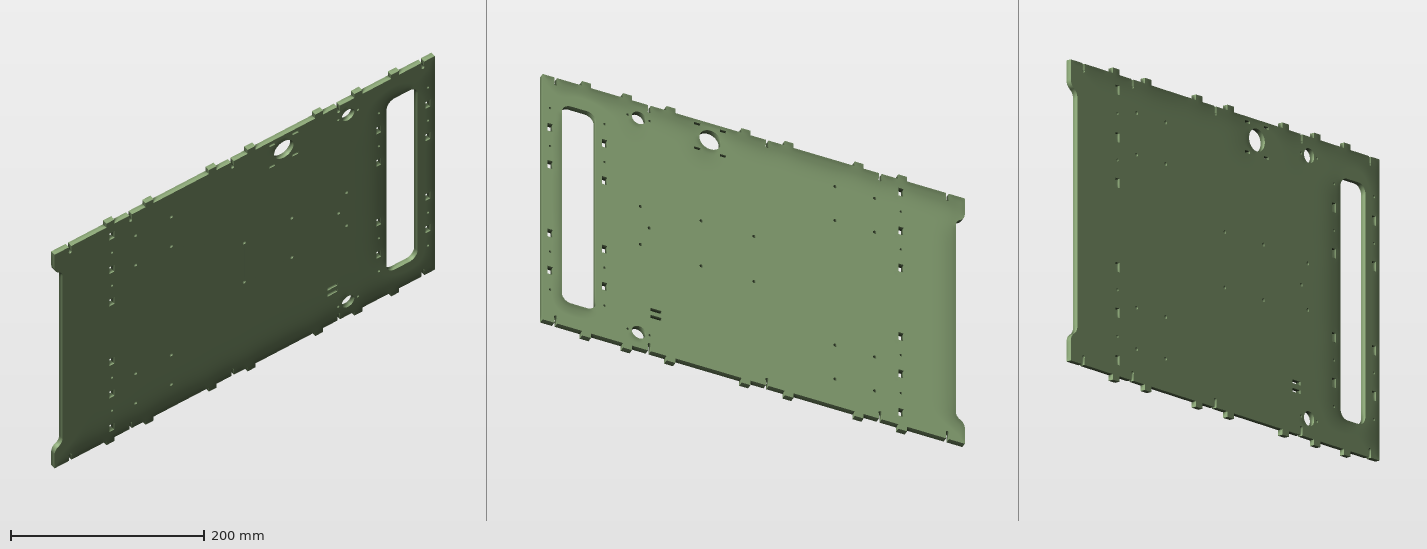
import cadquery as cq
import math

LENGTH = 483.0
HEIGHT_OVER_TABS = 337.0
HALF_THICKNESS = 3.0
THICKNESS = 2 * HALF_THICKNESS

SMALL_DIAMETER = 3.1
MEDIUM_DIAMETER = 4.0

TAB_WIDTH = 10.0
TAB_HEIGHT = THICKNESS
BODY_HEIGHT = HEIGHT_OVER_TABS - 2 * TAB_HEIGHT
TAB_YS = (191.5, 144.5, 94.5, 8.5, -40.5, -120.8, -170.5)

KEYHOLE_YS = (226.5, 119.5, -15.5, -145.0, -221.5)
KEYHOLE_WIDTH = 3.2
KEYHOLE_DIAMETER = 4.0
KEYHOLE_DEPTH = 10.0

RECESS_DEPTH = 10.0
RECESS_HALF_HEIGHT = 123.5
SHOULDER_RADIUS = 10.0

WINDOW_Y = 200.0
WINDOW_WIDTH = 39.0
WINDOW_HEIGHT = 261.0
WINDOW_CORNER_RADIUS = 10.5

MORTISE_WIDTH = THICKNESS
MORTISE_HEIGHT = TAB_WIDTH
COLUMN_YS = (233.0, 170.5, -168.5)
MORTISE_ZS = (45.5, 94.5)
PILOT_ZS = (70.0, 120.5)
END_MORTISE_Z = 146.0

PORT_Y = 131.5
PORT_Z = 142.0
PORT_DIAMETER = 16.0
PORT_SCREW_OFFSET = 12.5

OPENING_Y = 49.7
OPENING_Z = 140.5
OPENING_DIAMETER = 24.5
STRAP_SLOT_LENGTH = 7.2
STRAP_SLOT_HEIGHT = 3.0
STRAP_SPACING_Y = 29.5
STRAP_SPACING_Z = 32.5

TIE_SLOT_Y = 111.5
TIE_SLOT_LENGTH = 12.5
TIE_SLOT_HEIGHT = 4.0
TIE_SLOT_ZS = (-107.0, -116.5)

TRIANGLE_TIP_Y = 119.5
TRIANGLE_BASE_Y = 129.5
TRIANGLE_BASE_Z = 25.0
BOARD_YS = (60.0, -0.5)
BOARD_Z = 30.0
BRACKET_YS = (-93.0, -138.5)
BRACKET_ZS = (82.5, 127.5)


def mirrored(ys, zs):
    """All (y, z) combinations, above and below the centre line."""
    return [(y, side * z) for y in ys for z in zs for side in (1, -1)]


def panel_plane():
    return cq.Workplane("YZ", origin=(-HALF_THICKNESS, 0, 0))


def boxes(points, width, height):
    return panel_plane().pushPoints(points).rect(width, height).extrude(THICKNESS)


def discs(points, diameter):
    return panel_plane().pushPoints(points).circle(diameter / 2).extrude(THICKNESS)


def body():
    """Rectangle whose -Y end is recessed between two S-shaped shoulders."""
    end_y = -LENGTH / 2
    top_z = BODY_HEIGHT / 2
    floor_y = end_y + RECESS_DEPTH
    middle_y = end_y + RECESS_DEPTH / 2
    sweep = math.acos(1 - RECESS_DEPTH / 2 / SHOULDER_RADIUS)
    rise = SHOULDER_RADIUS * math.sin(sweep)
    middle_z = RECESS_HALF_HEIGHT + rise
    tip_z = middle_z + rise
    return (
        panel_plane()
        .moveTo(-end_y, -top_z)
        .lineTo(-end_y, top_z)
        .lineTo(end_y, top_z)
        .lineTo(end_y, tip_z)
        .tangentArcPoint((middle_y, middle_z), relative=False)
        .tangentArcPoint((floor_y, RECESS_HALF_HEIGHT), relative=False)
        .lineTo(floor_y, -RECESS_HALF_HEIGHT)
        .tangentArcPoint((middle_y, -middle_z), relative=False)
        .tangentArcPoint((end_y, -tip_z), relative=False)
        .lineTo(end_y, -top_z)
        .close()
        .extrude(THICKNESS)
    )


def keyholes():
    edge_z = BODY_HEIGHT / 2
    bulb_z = edge_z - KEYHOLE_DEPTH + KEYHOLE_DIAMETER / 2
    necks = boxes(mirrored(KEYHOLE_YS, [(edge_z + bulb_z) / 2]), KEYHOLE_WIDTH, edge_z - bulb_z)
    bulbs = discs(mirrored(KEYHOLE_YS, [bulb_z]), KEYHOLE_DIAMETER)
    return necks.union(bulbs)


def window():
    block = boxes([(WINDOW_Y, 0)], WINDOW_WIDTH, WINDOW_HEIGHT)
    return block.edges("|X").fillet(WINDOW_CORNER_RADIUS)


def mortises():
    points = mirrored(COLUMN_YS, MORTISE_ZS) + mirrored(COLUMN_YS[-1:], [END_MORTISE_Z])
    return boxes(points, MORTISE_WIDTH, MORTISE_HEIGHT)


def strap_slots():
    points = [
        (OPENING_Y + i * STRAP_SPACING_Y / 2, OPENING_Z + j * STRAP_SPACING_Z / 2)
        for i in (1, -1)
        for j in (1, -1)
    ]
    return boxes(points, STRAP_SLOT_LENGTH, STRAP_SLOT_HEIGHT)


def tie_slots():
    return boxes([(TIE_SLOT_Y, z) for z in TIE_SLOT_ZS], TIE_SLOT_LENGTH, TIE_SLOT_HEIGHT)


def small_holes():
    port_screw_ys = (PORT_Y + PORT_SCREW_OFFSET, PORT_Y - PORT_SCREW_OFFSET)
    points = mirrored(COLUMN_YS, PILOT_ZS) + mirrored(port_screw_ys, [PORT_Z])
    return discs(points, SMALL_DIAMETER)


def medium_holes():
    points = [(TRIANGLE_TIP_Y, 0)]
    points += mirrored([TRIANGLE_BASE_Y], [TRIANGLE_BASE_Z])
    points += mirrored(BOARD_YS, [BOARD_Z])
    points += mirrored(BRACKET_YS, BRACKET_ZS)
    return discs(points, MEDIUM_DIAMETER)


result = body().union(boxes([(y, 0) for y in TAB_YS], TAB_WIDTH, HEIGHT_OVER_TABS))

cutouts = (
    keyholes(),
    window(),
    mortises(),
    discs(mirrored([PORT_Y], [PORT_Z]), PORT_DIAMETER),
    discs([(OPENING_Y, OPENING_Z)], OPENING_DIAMETER),
    strap_slots(),
    tie_slots(),
    small_holes(),
    medium_holes(),
)
for cutout in cutouts:
    result = result.cut(cutout)